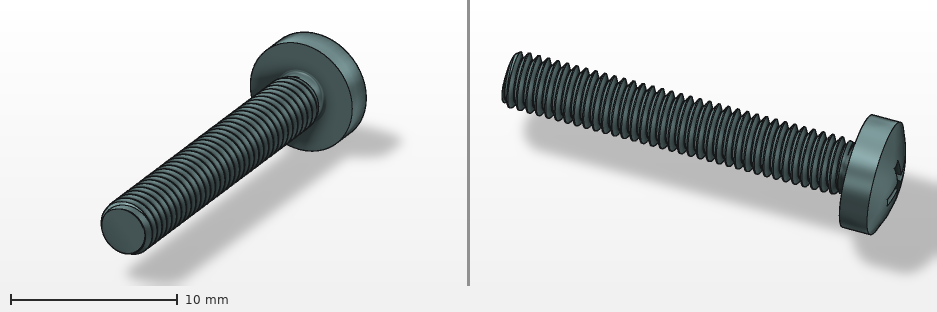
import cadquery as cq
import math


total_length = 24.65
head_radius = 3.5
shank_length = 22.02
dome_height = 0.9
rim_top = total_length - dome_height

recess_reach = 1.68
wing_width = 0.65
recess_depth = 1.23
recess_corner = wing_width / math.sqrt(2)

neck_radius = 1.55
neck_length = 0.57
neck_fillet = 0.2
neck_end = shank_length - neck_length

crest_radius = head_radius / 2
thread_depth = 0.37
root_radius = crest_radius - thread_depth
crest_span = 20.4
pitches_in_span = 34
pitch = crest_span / pitches_in_span
first_crest = 0.45
crest_width = pitch / 8
root_width = crest_width
tip_radius = 1.48
tip_chamfer_length = 0.4
runout_length = 0.75
overlap = 0.02


def make_head_and_neck():
    """Domed head, with the neck blending into its bearing face."""
    dome_center = (total_length**2 + recess_corner**2 - head_radius**2 - rim_top**2) / (2 * dome_height)
    dome_radius = math.hypot(head_radius, rim_top - dome_center)
    half_angle = math.asin(head_radius / dome_radius) / 2
    dome_middle = (
        dome_radius * math.sin(half_angle),
        dome_center + dome_radius * math.cos(half_angle),
    )
    return (
        cq.Workplane("XZ")
        .moveTo(0, neck_end)
        .lineTo(neck_radius, neck_end)
        .lineTo(neck_radius, shank_length - neck_fillet)
        .radiusArc((neck_radius + neck_fillet, shank_length), neck_fillet)
        .lineTo(head_radius, shank_length)
        .lineTo(head_radius, rim_top)
        .threePointArc(dome_middle, (0, dome_center + dome_radius))
        .close()
        .revolve(360, (0, 0, 0), (0, 1, 0))
    )


def make_recess():
    """Two crossed slots sunk into the dome, open at the top."""
    floor = total_length - recess_depth
    length = 2 * recess_reach
    wings = cq.Workplane("XY", origin=(0, 0, floor)).rect(length, wing_width).extrude(2 * recess_depth)
    return wings.union(wings.rotate((0, 0, 0), (0, 0, 1), 90))


def make_ridge():
    """Helical thread ridge, built one turn at a time and running past both ends of the rod."""
    start = first_crest - 2 * pitch
    turns = math.ceil((neck_end - start) / pitch) + 1
    flank_run = (pitch - crest_width - root_width) / 2
    half_crest = crest_width / 2
    half_base = half_crest + flank_run * (thread_depth + overlap) / thread_depth
    base_radius = root_radius - overlap
    section = [
        (base_radius, start - half_base),
        (crest_radius, start - half_crest),
        (crest_radius, start + half_crest),
        (base_radius, start + half_base),
    ]

    helices = [
        cq.Wire.makeHelix(pitch, pitch, radius).translate(cq.Vector(0, 0, height))
        for radius, height in section
    ]
    one_turn = []
    for lower, upper in zip(helices, helices[1:] + helices[:1]):
        one_turn += cq.Face.makeRuledSurface(lower, upper).Faces()

    corners = [cq.Vector(radius, 0, height) for radius, height in section]
    start_cap = cq.Face.makeFromWires(cq.Wire.makePolygon(corners, close=True))
    faces = [start_cap, start_cap.translate(cq.Vector(0, 0, turns * pitch))]
    for turn in range(turns):
        rise = cq.Vector(0, 0, turn * pitch)
        faces += [face.translate(rise) for face in one_turn]
    return cq.Workplane(cq.Solid.makeSolid(cq.Shell.makeShell(faces)))


def make_thread_envelope():
    """Rod with a chamfered tip and a cone that fades the thread into the neck."""
    outer_radius = crest_radius + overlap
    return (
        cq.Workplane("XZ")
        .polyline([
            (0, 0),
            (tip_radius, 0),
            (outer_radius, tip_chamfer_length),
            (outer_radius, neck_end - runout_length),
            (neck_radius, neck_end),
            (0, neck_end),
        ])
        .close()
        .revolve(360, (0, 0, 0), (0, 1, 0))
    )


core = cq.Workplane("XY").circle(root_radius).extrude(neck_end)
threaded_rod = core.union(make_ridge().intersect(make_thread_envelope()))
head = make_head_and_neck().cut(make_recess())
result = threaded_rod.union(head).rotate((0, 0, 0), (1, 0, 0), -90)